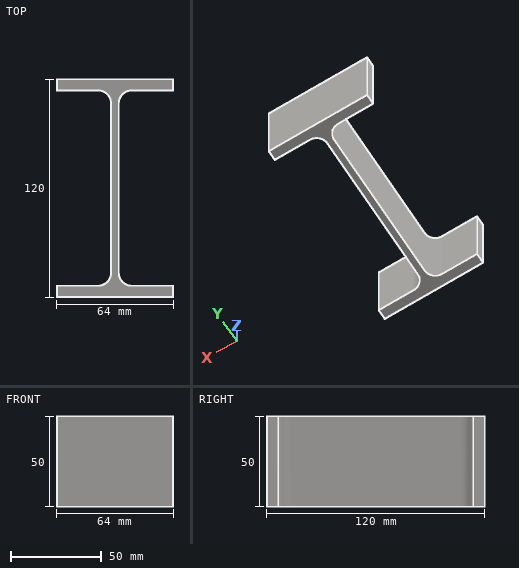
import cadquery as cq

beam_depth = 120.0
flange_width = 64.0
beam_length = 50.0
flange_thickness = 6.3
web_thickness = 4.4
root_radius = 7.0

web_height = beam_depth - 2 * flange_thickness
flange_offset = (beam_depth - flange_thickness) / 2


def make_flange(center_y):
    """Flat plate across one end of the web."""
    return (
        cq.Workplane("XY")
        .center(0, center_y)
        .rect(flange_width, flange_thickness)
        .extrude(beam_length)
    )


def make_web():
    """Thin wall joining the two flanges."""
    return cq.Workplane("XY").rect(web_thickness, web_height).extrude(beam_length)


def round_roots(beam):
    """Fillet the four inside corners where the web meets the flanges."""
    root_corners = cq.selectors.BoxSelector(
        (-web_thickness, -beam_depth / 2, 0),
        (web_thickness, beam_depth / 2, beam_length),
    )
    return beam.edges("|Z").edges(root_corners).fillet(root_radius)


beam = make_web()
for side in (-1, 1):
    beam = beam.union(make_flange(side * flange_offset))

result = round_roots(beam)